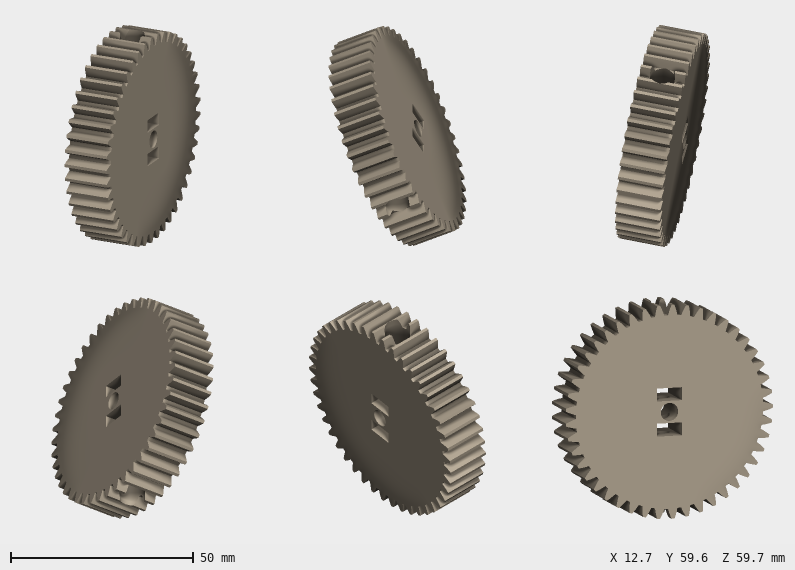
import cadquery as cq
import math

INCH = 25.4
diametral_pitch = 20
dedendum_factor = 1.25
tooth_count = 45
module = INCH / diametral_pitch
face_width = INCH / 2
pitch_radius = module * tooth_count / 2
tip_radius = pitch_radius + module
root_radius = pitch_radius - dedendum_factor * module

tip_half_thickness = 0.42
pitch_half_thickness = 0.90
root_half_thickness = 1.34

bore_diameter = 5.0

slot_width = 7.2
slot_height = 3.6
slot_center_offset = 4.9

screw_diameter = 4.0
head_diameter = 7.0
head_floor_radius = 15.0


def polar(radius, angle):
    """Point (Y, Z) at a radius and an angle from +Y."""
    return (radius * math.cos(angle), radius * math.sin(angle))


def gear_blank():
    """Toothed disc with one tooth centred on -Y."""
    pitch_angle = 2 * math.pi / tooth_count
    first_tooth_angle = math.pi
    root_half_angle = root_half_thickness / root_radius
    pitch_half_angle = pitch_half_thickness / pitch_radius
    tip_half_angle = tip_half_thickness / tip_radius

    start = polar(root_radius, first_tooth_angle - root_half_angle)
    outline = cq.Workplane("YZ", origin=(-face_width / 2, 0, 0)).moveTo(*start)
    for tooth in range(tooth_count):
        center = first_tooth_angle + tooth * pitch_angle
        outline = outline.threePointArc(
            polar(pitch_radius, center - pitch_half_angle),
            polar(tip_radius, center - tip_half_angle),
        )
        outline = outline.threePointArc(
            polar(tip_radius, center),
            polar(tip_radius, center + tip_half_angle),
        )
        outline = outline.threePointArc(
            polar(pitch_radius, center + pitch_half_angle),
            polar(root_radius, center + root_half_angle),
        )
        outline = outline.threePointArc(
            polar(root_radius, center + pitch_angle / 2),
            polar(root_radius, center + pitch_angle - root_half_angle),
        )
    return outline.close().extrude(face_width)


def axial_cuts():
    """Bore and nut slots, all parallel to X."""
    bore = cq.Workplane("YZ").circle(bore_diameter / 2).extrude(face_width, both=True)
    slots = (
        cq.Workplane("YZ")
        .pushPoints([(0, slot_center_offset), (0, -slot_center_offset)])
        .rect(slot_width, slot_height)
        .extrude(face_width, both=True)
    )
    return bore.union(slots)


def radial_cuts():
    """Screw hole with a head counterbore at +Z and -Z."""
    cut = cq.Workplane("XY").circle(screw_diameter / 2).extrude(tip_radius, both=True)
    for side in (1, -1):
        head = (
            cq.Workplane("XY", origin=(0, 0, side * head_floor_radius))
            .circle(head_diameter / 2)
            .extrude(side * tip_radius)
        )
        cut = cut.union(head)
    return cut


result = gear_blank().cut(axial_cuts()).cut(radial_cuts())